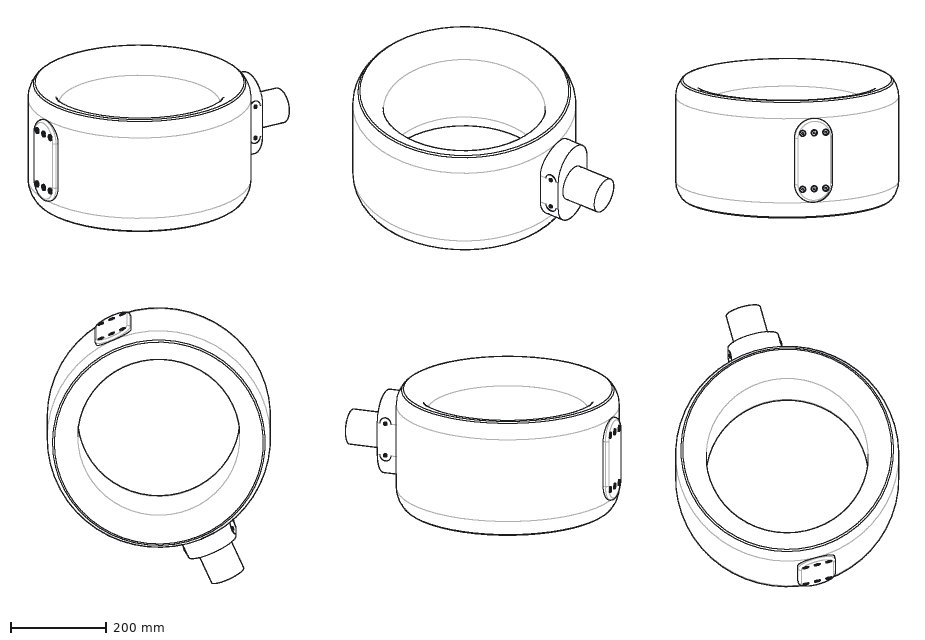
import cadquery as cq

RING_RADIUS = 235.0
RING_HEIGHT = 252.0
BORE_DIAMETER = 341.0
INNER_LIP_RADIUS = 49.5
OUTER_ROUND_HEIGHT = 35.5
RIM_BEVEL_OUTER_RADIUS = 224.0
RIM_BEVEL_HEIGHT = 3.0

STEM_DIAMETER = 75.0
STEM_END_Y = 353.0
COLLAR_END_Y = 274.0
COLLAR_WIDTH = 110.0
COLLAR_HEIGHT = 180.0

FLANK_SCREW_Y = 255.0
FLANK_PAD_DIAMETER = 25.0
FLANK_HEAD_DIAMETER = 8.0
FLANK_HEAD_HEIGHT = 2.0
FLANK_HEAD_CHAMFER = 0.5
FLANK_SOCKET_WIDTH = 4.0

PLATE_FACE_Y = -242.0
PLATE_WIDTH = 81.0
PLATE_HEIGHT = 180.0
PLATE_FILLET = 5.5

PLATE_SCREW_PITCH_X = 25.0
PLATE_SCREW_PITCH_Z = 120.0
COUNTERBORE_DIAMETER = 13.0
COUNTERBORE_DEPTH = 2.5
PLATE_HEAD_DIAMETER = 11.5
PLATE_HEAD_HEIGHT = 2.0
PLATE_SOCKET_WIDTH = 4.0

SOCKET_DEPTH = 1.0
ATTACH_Y = 202.5


def ring():
    """Revolved wall, with rounded lips at both ends."""
    bore_radius = BORE_DIAMETER / 2
    top = RING_HEIGHT / 2
    bore_edge = top - INNER_LIP_RADIUS
    rim_radius = bore_radius + INNER_LIP_RADIUS
    wall_edge = top - OUTER_ROUND_HEIGHT
    bevel_edge = top - RIM_BEVEL_HEIGHT
    round_rise = bevel_edge - wall_edge
    round_inset = RING_RADIUS - RIM_BEVEL_OUTER_RADIUS
    outer_round_radius = (round_rise**2 + round_inset**2) / (2 * round_inset)

    return (
        cq.Workplane("XZ")
        .moveTo(bore_radius, -bore_edge)
        .radiusArc((rim_radius, -top), -INNER_LIP_RADIUS)
        .lineTo(RIM_BEVEL_OUTER_RADIUS, -bevel_edge)
        .radiusArc((RING_RADIUS, -wall_edge), -outer_round_radius)
        .lineTo(RING_RADIUS, wall_edge)
        .radiusArc((RIM_BEVEL_OUTER_RADIUS, bevel_edge), -outer_round_radius)
        .lineTo(rim_radius, top)
        .radiusArc((bore_radius, bore_edge), -INNER_LIP_RADIUS)
        .close()
        .revolve(360, (0, 0, 0), (0, 1, 0))
    )


def upright_slot(width, height, start_y, end_y):
    """Prism along Y with a round-ended section, long side along Z."""
    return (
        cq.Workplane("XZ", origin=(0, start_y, 0))
        .slot2D(height, width, 90)
        .extrude(start_y - end_y)
    )


def cylinder(diameter, base, axis, length):
    """Cylinder that starts at the base point and runs along the axis."""
    solid = cq.Solid.makeCylinder(diameter / 2, length, cq.Vector(*base), cq.Vector(*axis))
    return cq.Workplane(solid)


def hex_socket(width, base, axis):
    """Hexagonal prism along a horizontal axis, measured across its level corners."""
    level = (axis[1], -axis[0], 0)
    plane = cq.Plane(origin=base, xDir=level, normal=axis)
    return cq.Workplane(plane).polygon(6, width).extrude(SOCKET_DEPTH)


def flank_screw(side, z):
    """Flat pad beside the collar's flat flank, with a socket-head screw on it."""
    flank_x = COLLAR_WIDTH / 2
    head_x = flank_x + FLANK_HEAD_HEIGHT
    outward = (side, 0, 0)
    pad = cylinder(FLANK_PAD_DIAMETER, (0, FLANK_SCREW_Y, z), outward, flank_x)
    head = cylinder(FLANK_HEAD_DIAMETER, (0, FLANK_SCREW_Y, z), outward, head_x)
    head = head.edges(">X" if side > 0 else "<X").chamfer(FLANK_HEAD_CHAMFER)
    socket_base = (side * (head_x - SOCKET_DEPTH), FLANK_SCREW_Y, z)
    socket = hex_socket(FLANK_SOCKET_WIDTH, socket_base, outward)
    return pad.union(head).cut(socket)


def stem_and_collar():
    """Round stem on a round-ended collar, with two screws on each flank."""
    collar = upright_slot(COLLAR_WIDTH, COLLAR_HEIGHT, ATTACH_Y, COLLAR_END_Y)
    body = collar.union(cylinder(STEM_DIAMETER, (0, ATTACH_Y, 0), (0, 1, 0), STEM_END_Y - ATTACH_Y))
    flat_half_height = (COLLAR_HEIGHT - COLLAR_WIDTH) / 2
    for side in (-1, 1):
        for z in (-flat_half_height, flat_half_height):
            body = body.union(flank_screw(side, z))
    return body


def plate_screw_recess(x, z):
    """Volume removed around and inside one sunken screw head."""
    inward = (0, 1, 0)
    head_y = PLATE_FACE_Y + COUNTERBORE_DEPTH - PLATE_HEAD_HEIGHT
    counterbore = cylinder(COUNTERBORE_DIAMETER, (x, PLATE_FACE_Y, z), inward, COUNTERBORE_DEPTH)
    head = cylinder(PLATE_HEAD_DIAMETER, (x, head_y, z), inward, PLATE_HEAD_HEIGHT)
    socket = hex_socket(PLATE_SOCKET_WIDTH, (x, head_y, z), inward)
    return counterbore.cut(head).union(socket)


def cover_plate():
    """Round-ended plate with a filleted face and two rows of sunken screws."""
    plate = upright_slot(PLATE_WIDTH, PLATE_HEIGHT, -ATTACH_Y, PLATE_FACE_Y)
    plate = plate.faces("<Y").edges().fillet(PLATE_FILLET)
    for column in (-1, 0, 1):
        for row in (-1, 1):
            x = column * PLATE_SCREW_PITCH_X
            z = row * PLATE_SCREW_PITCH_Z / 2
            plate = plate.cut(plate_screw_recess(x, z))
    return plate


result = ring().union(stem_and_collar()).union(cover_plate())